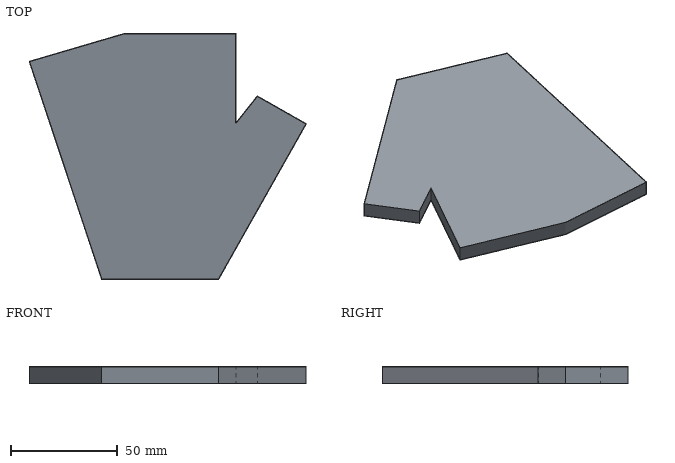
import cadquery as cq

LENGTH_X = 129.57
DEPTH_Y = 115.0
THICKNESS = 8.0

BASE_WIDTH = 54.6

LEFT_X = -33.9
LEFT_Y = 102.0

TOP_START_X = 10.4
TOP_END_X = 62.7

NOTCH_Y = 73.1

ARM_INNER_X = 72.8
ARM_INNER_Y = 85.8
ARM_OUTER_X = LEFT_X + LENGTH_X
ARM_OUTER_Y = 72.8

outline = [
    (0, 0),
    (BASE_WIDTH, 0),
    (ARM_OUTER_X, ARM_OUTER_Y),
    (ARM_INNER_X, ARM_INNER_Y),
    (TOP_END_X, NOTCH_Y),
    (TOP_END_X, DEPTH_Y),
    (TOP_START_X, DEPTH_Y),
    (LEFT_X, LEFT_Y),
]

result = cq.Workplane("XY").polyline(outline).close().extrude(THICKNESS)